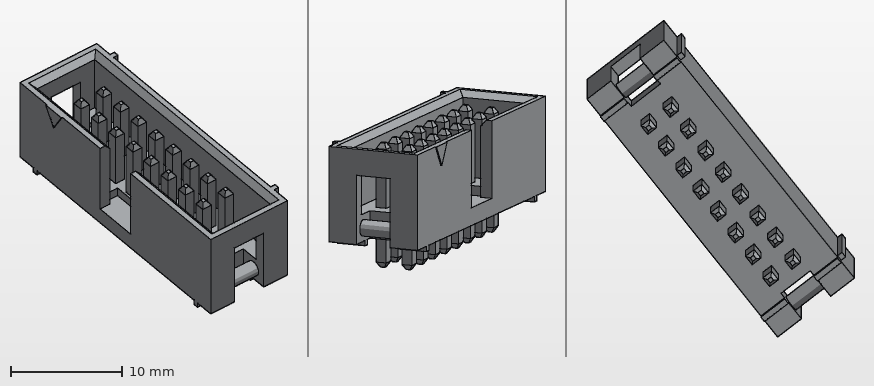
import cadquery as cq


length = 27.82
depth = 8.8
height = 8.8
wall = 1.1
floor_thickness = 2.53
lead_in_width = 0.55
lead_in_depth = 0.58

notch_width = 4.45
notch_floor = 1.65
pocket_width = 5.45
pocket_reach = 2.4

slot_width = 3.35
slot_reach = 2.98
slot_top = 6.37
bar_diameter = 1.5
bar_inset = 1.5
bar_height = 1.25

rib_width = 0.53
rib_inset = 2.2
foot_height = 0.5
rib_projection = 0.5
rib_length = 8.2

pin_columns = 8
pin_rows = 2
pin_row_length = 17.78
pitch = pin_row_length / (pin_columns - 1)
pin_width = 1.0
pin_drop = 3.0
pin_top_gap = 0.33
tip_height = 0.5
tip_width = 0.4

arrow_width = 2.3
arrow_height = 1.95
arrow_projection = 0.1

front = -depth / 2
back = depth / 2
first_pin_x = -pin_row_length / 2
first_pin_y = -pitch * (pin_rows - 1) / 2


def block(x_range, y_range, z_range):
    """Box spanning the given (low, high) range along each axis."""
    sizes = [high - low for low, high in (x_range, y_range, z_range)]
    corner = (x_range[0], y_range[0], z_range[0])
    return cq.Workplane("XY").box(*sizes, centered=False).translate(corner)


def centred(middle, size):
    """Range of the given size about a middle value."""
    return (middle - size / 2, middle + size / 2)


def make_shroud():
    """Open box with a sloped lead-in around the mouth of its cavity."""
    inner_length = length - 2 * wall
    inner_depth = depth - 2 * wall
    body = block(centred(0, length), centred(0, depth), (0, height))
    cavity = block(centred(0, inner_length), centred(0, inner_depth), (floor_thickness, height))
    lead_in = (
        cq.Workplane("XY", origin=(0, 0, height - lead_in_depth))
        .rect(inner_length, inner_depth)
        .workplane(offset=lead_in_depth)
        .rect(inner_length + 2 * lead_in_width, inner_depth + 2 * lead_in_width)
        .loft(ruled=True)
    )
    return body.cut(cavity).cut(lead_in)


def make_key_opening():
    """Notch through the front wall joined to the pocket in the floor."""
    notch = block(centred(0, notch_width), (front, front + pocket_reach), (notch_floor, height))
    pocket = block(
        centred(0, pocket_width),
        (front + wall, front + pocket_reach),
        (notch_floor, floor_thickness),
    )
    return notch.union(pocket)


def make_foot_and_rib(side):
    """Foot along the underside and upright rib on the rear wall at one end."""
    x_range = centred(side * (length / 2 - rib_inset), rib_width)
    foot = block(x_range, centred(0, depth), (-foot_height, 0))
    rib = block(x_range, (back, back + rib_projection), (height - rib_length, height))
    return foot, rib


def make_end_slot(side):
    """Slot open to the end face and the underside at one end."""
    x_range = centred(side * (length - slot_reach) / 2, slot_reach)
    return block(x_range, centred(0, slot_width), (-foot_height, slot_top))


def make_bar(side):
    """Round bar bridging the slot at one end."""
    bar_x = side * (length / 2 - bar_inset)
    return (
        cq.Workplane("XZ", origin=(bar_x, 0, bar_height))
        .circle(bar_diameter / 2)
        .extrude(slot_width / 2, both=True)
    )


def make_pin(x, y):
    """Square pin tapered at both ends."""
    bottom = -pin_drop
    top = height - pin_top_gap
    shank = block(
        centred(x, pin_width), centred(y, pin_width), (bottom + tip_height, top - tip_height)
    )
    tip = (
        cq.Workplane("XY")
        .rect(pin_width, pin_width)
        .workplane(offset=tip_height)
        .rect(tip_width, tip_width)
        .loft(ruled=True)
    )
    top_tip = tip.translate((x, y, top - tip_height))
    bottom_tip = tip.mirror("XY").translate((x, y, bottom + tip_height))
    return shank.union(top_tip).union(bottom_tip)


def make_arrow():
    """Thin triangle on the front wall, pointing down from the rim at the first pin."""
    return (
        cq.Workplane("XZ", origin=(first_pin_x, front, height))
        .polyline([(-arrow_width / 2, 0), (arrow_width / 2, 0), (0, -arrow_height)])
        .close()
        .extrude(arrow_projection)
    )


result = make_shroud().cut(make_key_opening())
for end in (-1, 1):
    foot, rib = make_foot_and_rib(end)
    result = result.union(foot).union(rib)
    result = result.cut(make_end_slot(end)).union(make_bar(end))
for column in range(pin_columns):
    for row in range(pin_rows):
        pin = make_pin(first_pin_x + column * pitch, first_pin_y + row * pitch)
        result = result.union(pin)
result = result.union(make_arrow())